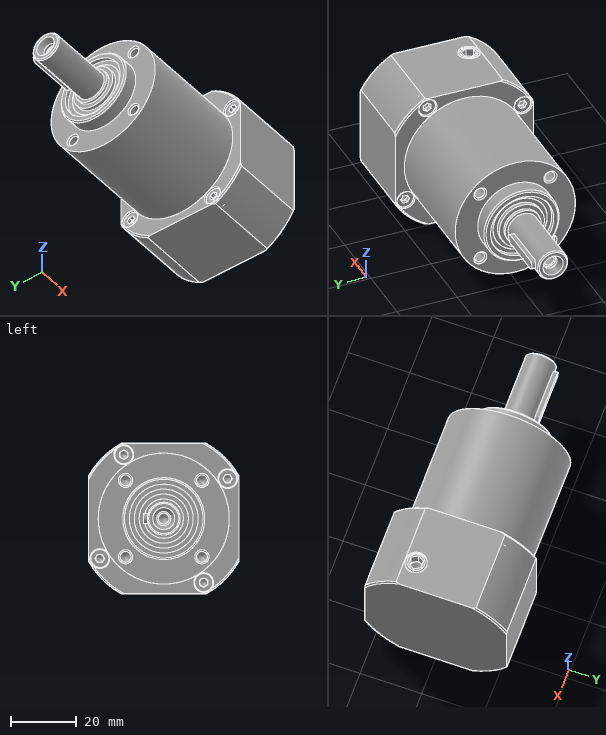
import cadquery as cq
import math

SHOULDER_X = 23.0
PILOT_X = 23.8
BODY_X = 29.0
FLANGE_X = 68.0
END_X = 95.0

SHAFT_DIA = 10.0
SHAFT_CHAMFER = 0.4
SHOULDER_DIA = 12.0

CENTRE_MOUTH_DIA = 6.7
CENTRE_RELIEF_DIA = 4.3
CENTRE_RELIEF_DEPTH = 3.2
CENTRE_CONE_ANGLE = 60.0
CENTRE_DRILL_DEPTH = 12.0

KEY_START_X = 2.0
KEY_LENGTH = 18.0
KEY_WIDTH = 3.0
KEY_TOP = 6.2
KEY_BOTTOM = 3.2

PILOT_DIA = 25.0
PILOT_CHAMFER = 0.5
SEAL_GROOVE_DIA = 21.0
SEAL_GROOVE_DEPTH = 1.5
SEAL_STEP_DIA = 18.0
SEAL_STEP_DEPTH = 1.6
SEAL_LIP_DIA = 15.0
SEAL_LIP_DEPTH = 0.2

BODY_DIA = 40.0
MOUNT_PITCH_DIA = 33.0
MOUNT_ANGLE = 45.0
TAP_DRILL_DIA = 3.3
TAP_MOUTH_DIA = 4.3
TAP_DEPTH = 8.0
DRILL_TIP_ANGLE = 118.0

FLANGE_SIDE = 46.0
FLANGE_CORNER_DIA = 52.8
FLANGE_CHAMFER = 0.5

SCREW_PITCH_DIA = 46.0
SCREW_ANGLE = 58.0
SCREW_BORE_DIA = 6.0
SCREW_BORE_DEPTH = 3.5
SCREW_HEAD_DIA = 5.5
SCREW_HEAD_HEIGHT = 3.0
SCREW_SOCKET_SIZE = 2.5
SCREW_SOCKET_DEPTH = 1.5

SET_SCREW_X = 86.4
SET_SCREW_Y = -9.45
SET_SCREW_DIA = 6.8
SET_SCREW_TIP_DIA = 5.5
SET_SCREW_SOCKET_SIZE = 4.0
SET_SCREW_SOCKET_DEPTH = 4.0


def disc(x_start, x_end, diameter):
    """Cylinder on the X axis between two stations."""
    return cq.Workplane("YZ", origin=(x_start, 0, 0)).circle(diameter / 2).extrude(x_end - x_start)


def ring(x_start, x_end, outer_dia, inner_dia):
    """Tube on the X axis between two stations."""
    profile = cq.Workplane("YZ", origin=(x_start, 0, 0)).circle(outer_dia / 2).circle(inner_dia / 2)
    return profile.extrude(x_end - x_start)


def cone_depth(large_dia, small_dia, angle):
    """Axial length of a cone with the given included angle."""
    return (large_dia - small_dia) / 2 / math.tan(math.radians(angle / 2))


def turned_along_x(points, y=0.0, z=0.0):
    """Solid of revolution about a line parallel to X, from (x, radius) points."""
    profile = cq.Workplane("XY").polyline(points).close()
    return profile.revolve(360, (0, 0, 0), (1, 0, 0)).translate((0, y, z))


def polar(pitch_dia, angle):
    """Y and Z of a point on a pitch circle about the X axis."""
    radians = math.radians(angle)
    return pitch_dia / 2 * math.cos(radians), pitch_dia / 2 * math.sin(radians)


def hex_socket(across_flats, depth):
    """Hexagonal socket with a conical drill tip, opening at Z = 0 and running down -Z."""
    across_corners = across_flats / math.cos(math.pi / 6)
    hexagon = cq.Workplane("XY").polygon(6, across_corners).extrude(-depth)
    radius = across_flats / 2
    tip = cone_depth(across_flats, 0, DRILL_TIP_ANGLE)
    cone = cq.Workplane(
        cq.Solid.makeCone(radius, 0, tip, cq.Vector(0, 0, -depth), cq.Vector(0, 0, -1))
    )
    return hexagon.union(cone)


def make_shaft():
    shaft = disc(0, PILOT_X, SHAFT_DIA).faces("<X").chamfer(SHAFT_CHAMFER)
    shoulder = disc(SHOULDER_X, BODY_X, SHOULDER_DIA)
    return shaft.union(shoulder)


def make_key():
    middle_x = KEY_START_X + KEY_LENGTH / 2
    outline = cq.Workplane("XZ", origin=(middle_x, KEY_BOTTOM, 0)).slot2D(KEY_LENGTH, KEY_WIDTH)
    return outline.extrude(KEY_BOTTOM - KEY_TOP)


def make_shaft_centre():
    cone_end = cone_depth(CENTRE_MOUTH_DIA, CENTRE_RELIEF_DIA, CENTRE_CONE_ANGLE)
    tip_x = CENTRE_DRILL_DEPTH + cone_depth(TAP_DRILL_DIA, 0, DRILL_TIP_ANGLE)
    return turned_along_x([
        (0, 0),
        (0, CENTRE_MOUTH_DIA / 2),
        (cone_end, CENTRE_RELIEF_DIA / 2),
        (CENTRE_RELIEF_DEPTH, CENTRE_RELIEF_DIA / 2),
        (CENTRE_RELIEF_DEPTH, TAP_DRILL_DIA / 2),
        (CENTRE_DRILL_DEPTH, TAP_DRILL_DIA / 2),
        (tip_x, 0),
    ])


def make_pilot():
    pilot = disc(PILOT_X, BODY_X, PILOT_DIA).faces("<X").chamfer(PILOT_CHAMFER)
    lip_recess = disc(PILOT_X, PILOT_X + SEAL_LIP_DEPTH, SEAL_GROOVE_DIA)
    groove = ring(PILOT_X, PILOT_X + SEAL_GROOVE_DEPTH, SEAL_GROOVE_DIA, SEAL_LIP_DIA)
    step = ring(PILOT_X, PILOT_X + SEAL_STEP_DEPTH, SEAL_STEP_DIA, SEAL_LIP_DIA)
    return pilot.cut(lip_recess).cut(groove).cut(step)


def make_mount_hole(angle):
    y, z = polar(MOUNT_PITCH_DIA, angle)
    mouth_depth = (TAP_MOUTH_DIA - TAP_DRILL_DIA) / 2
    tip_depth = TAP_DEPTH + cone_depth(TAP_DRILL_DIA, 0, DRILL_TIP_ANGLE)
    return turned_along_x([
        (BODY_X, 0),
        (BODY_X, TAP_MOUTH_DIA / 2),
        (BODY_X + mouth_depth, TAP_DRILL_DIA / 2),
        (BODY_X + TAP_DEPTH, TAP_DRILL_DIA / 2),
        (BODY_X + tip_depth, 0),
    ], y, z)


def make_flange():
    length = END_X - FLANGE_X
    square = cq.Workplane("YZ", origin=(FLANGE_X, 0, 0)).rect(FLANGE_SIDE, FLANGE_SIDE).extrude(length)
    round_bar = disc(FLANGE_X, END_X, FLANGE_CORNER_DIA).faces("<X or >X").chamfer(FLANGE_CHAMFER)
    return square.intersect(round_bar)


def make_screw_bore(angle):
    y, z = polar(SCREW_PITCH_DIA, angle)
    return disc(FLANGE_X, FLANGE_X + SCREW_BORE_DEPTH, SCREW_BORE_DIA).translate((0, y, z))


def make_screw_head(angle):
    """Socket head seated on the floor of its bore."""
    y, z = polar(SCREW_PITCH_DIA, angle)
    floor_x = FLANGE_X + SCREW_BORE_DEPTH
    face_x = floor_x - SCREW_HEAD_HEIGHT
    head = disc(face_x, floor_x, SCREW_HEAD_DIA)
    socket = hex_socket(SCREW_SOCKET_SIZE, SCREW_SOCKET_DEPTH)
    socket = socket.rotate((0, 0, 0), (0, 1, 0), -90).translate((face_x, 0, 0))
    return head.cut(socket).rotate((0, 0, 0), (1, 0, 0), angle - SCREW_ANGLE).translate((0, y, z))


def make_set_screw_cut():
    """Gap around the chamfered set screw end, together with its hexagonal socket."""
    chamfer = (SET_SCREW_DIA - SET_SCREW_TIP_DIA) / 2
    hole = cq.Workplane("XY").circle(SET_SCREW_DIA / 2).extrude(-chamfer)
    screw_end = cq.Workplane(
        cq.Solid.makeCone(SET_SCREW_DIA / 2, SET_SCREW_TIP_DIA / 2, chamfer, cq.Vector(0, 0, -chamfer))
    )
    socket = hex_socket(SET_SCREW_SOCKET_SIZE, SET_SCREW_SOCKET_DEPTH)
    cutter = hole.cut(screw_end).union(socket)
    return cutter.translate((SET_SCREW_X, SET_SCREW_Y, FLANGE_SIDE / 2))


QUARTERS = [0, 90, 180, 270]

body = disc(BODY_X, FLANGE_X, BODY_DIA).union(make_flange())
for quarter in QUARTERS:
    body = body.cut(make_mount_hole(MOUNT_ANGLE + quarter))

for quarter in QUARTERS:
    screw_angle = SCREW_ANGLE + quarter
    body = body.cut(make_screw_bore(screw_angle)).union(make_screw_head(screw_angle))

body = body.cut(make_set_screw_cut())
output_end = make_pilot().union(make_shaft()).union(make_key()).cut(make_shaft_centre())

result = body.union(output_end)